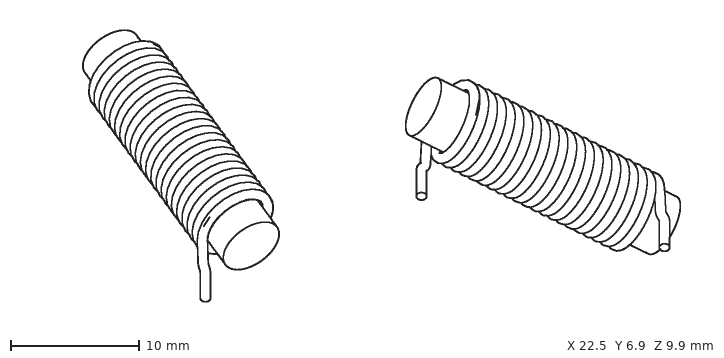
import cadquery as cq
import math

core_length = 22.5
core_diameter = 5.0

wire_diameter = 0.8
coil_outer_diameter = 6.9
turns = 21.5
pitch = 0.828
coil_length = turns * pitch
coil_radius = (coil_outer_diameter - wire_diameter) / 2

overall_height = 9.9
tangent_drop = 2.5
bend_radius = 0.79
bend_angle = math.radians(40)
leg_bottom_z = coil_outer_diameter / 2 - overall_height
lead_angle = math.atan(pitch / (2 * math.pi * coil_radius))


def make_core():
    return cq.Workplane("YZ").circle(core_diameter / 2).extrude(core_length / 2, both=True)


def make_winding():
    """Helical wire from the +Y side at -X, over the top, to the -Y side at +X."""
    start = cq.Vector(-coil_length / 2, coil_radius, 0)
    tangent = cq.Vector(math.sin(lead_angle), 0, math.cos(lead_angle))
    helix = cq.Wire.makeHelix(pitch, coil_length, coil_radius)
    path = (
        helix.rotate(cq.Vector(), cq.Vector(0, 1, 0), 90)
        .rotate(cq.Vector(), cq.Vector(1, 0, 0), 90)
        .translate(cq.Vector(-coil_length / 2, 0, 0))
    )
    section = cq.Workplane(cq.Plane(start, normal=tangent)).circle(wire_diameter / 2)
    return section.sweep(cq.Workplane(path), isFrenet=True)


def make_lead():
    """Lead at the +X end of the winding, on the -Y side."""
    start = (coil_length / 2, 0)
    bend_start = (start[0] + tangent_drop * math.tan(lead_angle), -tangent_drop)
    bend_middle = (
        bend_start[0] + bend_radius * (math.cos(lead_angle) - math.cos(bend_angle)),
        bend_start[1] - bend_radius * (math.sin(bend_angle) - math.sin(lead_angle)),
    )
    bend_end = (
        bend_middle[0] + bend_radius * (1 - math.cos(bend_angle)),
        bend_middle[1] - bend_radius * math.sin(bend_angle),
    )
    path = (
        cq.Workplane("XZ", origin=(0, -coil_radius, 0))
        .moveTo(*start)
        .lineTo(*bend_start)
        .tangentArcPoint(bend_middle, relative=False)
        .tangentArcPoint(bend_end, relative=False)
        .lineTo(bend_end[0], leg_bottom_z)
    )
    section_plane = cq.Plane(
        (start[0], -coil_radius, start[1]),
        normal=(math.sin(lead_angle), 0, -math.cos(lead_angle)),
    )
    return cq.Workplane(section_plane).circle(wire_diameter / 2).sweep(path)


def make_coil():
    coil = make_winding()
    lead = make_lead()
    for turn_about_z in (0, 180):
        coil = coil.union(lead.rotate((0, 0, 0), (0, 0, 1), turn_about_z))
    return coil


core = make_core()
coil = make_coil()
result = cq.Compound.makeCompound([core.val(), *coil.solids().vals()])